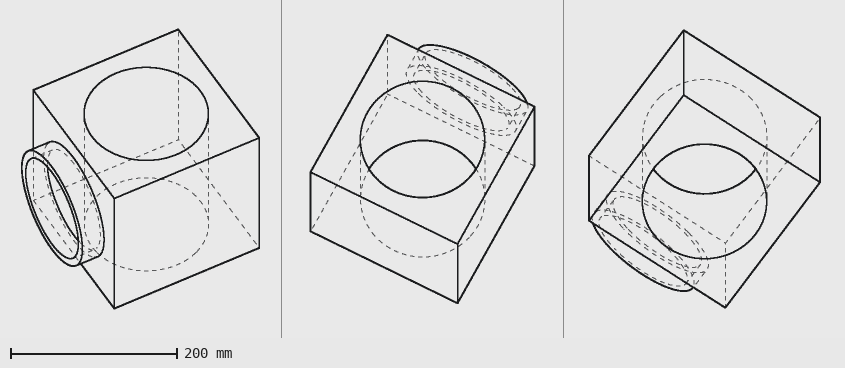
import cadquery as cq

block_side = 200.0
collar_length = 30.0
bore_diameter = 150.0
collar_wall = 10.0

collar_outer_diameter = bore_diameter
collar_inner_diameter = collar_outer_diameter - 2 * collar_wall

block = cq.Workplane("XY").box(block_side, block_side, block_side)
bored_block = block.faces(">Z").workplane().hole(bore_diameter)

collar = (
    cq.Workplane("XZ", origin=(0, -block_side / 2, 0))
    .circle(collar_outer_diameter / 2)
    .circle(collar_inner_diameter / 2)
    .extrude(collar_length)
)

result = bored_block.union(collar)